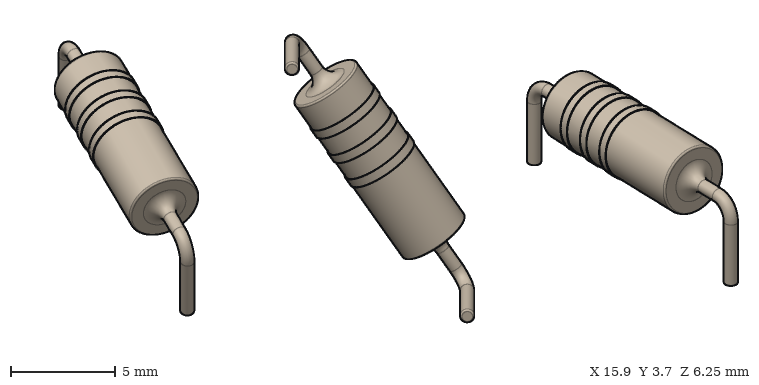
import cadquery as cq

body_length = 9.5
body_diameter = 3.6
body_edge_radius = 0.1

band_diameter = 3.7
band_width = 0.5
band_pitch = 1.5
band_count = 3
first_band_start = 1.5

overall_length = 15.94
overall_height = 6.25
lead_diameter = 0.7
bend_radius = 1.0
tip_radius = 0.1
flare_radius = 0.75

lead_radius = lead_diameter / 2
lead_x = overall_length / 2 - lead_radius
lead_bottom_z = band_diameter / 2 - overall_height
body_end_x = body_length / 2


def x_cylinder(start_x, length, diameter):
    return cq.Workplane("YZ", origin=(start_x, 0, 0)).circle(diameter / 2).extrude(length)


def make_body():
    body = x_cylinder(-body_end_x, body_length, body_diameter)
    body = body.edges().fillet(body_edge_radius)
    for index in range(band_count):
        band_x = -body_end_x + first_band_start + index * band_pitch
        body = body.union(x_cylinder(band_x, band_width, band_diameter))
    return body


def make_lead():
    """Lead at the +X end: down-turned wire with a rounded tip, running into the body."""
    upright = (
        cq.Workplane("XY", origin=(lead_x, 0, lead_bottom_z))
        .circle(lead_radius)
        .extrude(-bend_radius - lead_bottom_z)
        .faces("<Z")
        .edges()
        .fillet(tip_radius)
    )
    bend = (
        cq.Workplane("XY", origin=(lead_x, 0, -bend_radius))
        .circle(lead_radius)
        .revolve(90, (-bend_radius, 0, 0), (-bend_radius, -1, 0))
    )
    horizontal = x_cylinder(0, lead_x - bend_radius, lead_diameter)
    return upright.union(bend).union(horizontal)


def make_flare():
    """Trumpet-shaped collar around the wire at the +X end of the body."""
    flare_end_x = body_end_x + flare_radius
    flare_outer_radius = lead_radius + flare_radius
    arc_offset = flare_radius * (1 - 0.5**0.5)
    return (
        cq.Workplane("XZ")
        .moveTo(0, 0)
        .lineTo(0, flare_outer_radius)
        .lineTo(body_end_x, flare_outer_radius)
        .threePointArc(
            (body_end_x + arc_offset, lead_radius + arc_offset),
            (flare_end_x, lead_radius),
        )
        .lineTo(flare_end_x, 0)
        .close()
        .revolve(360, (0, 0, 0), (1, 0, 0))
    )


end_wire = make_lead().union(make_flare())
result = make_body().union(end_wire).union(end_wire.mirror("YZ"))